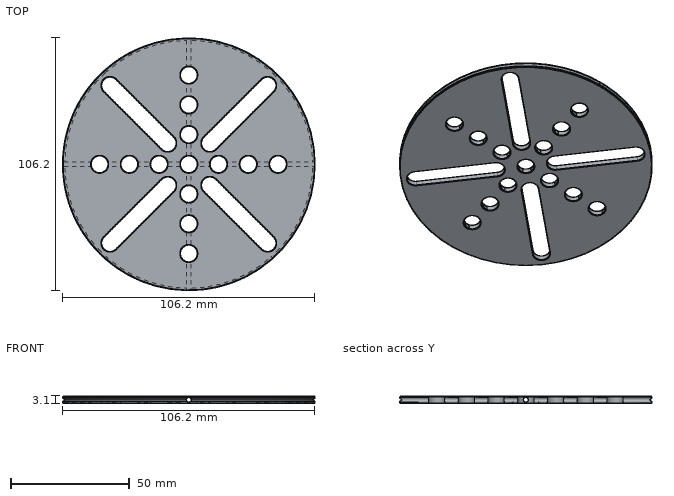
import cadquery as cq
import math

disc_diameter = 106.2
thickness = 3.1
edge_chamfer = 0.3

groove_width = 1.5
groove_depth = 1.0

hole_diameter = 7.0
holes_per_arm = 3
outer_hole_radius = 37.5
hole_pitch = outer_hole_radius / holes_per_arm

slot_width = hole_diameter
slot_inner_radius = 12.5
slot_outer_radius = 46.9

bore_diameter = 2.0

groove_seam_angle = 20
bore_seam_angle = 30

quarter_turns = (0, 90, 180, 270)
slot_angle = 45
z_axis = ((0, 0, 0), (0, 0, 1))


def make_perforated_disc():
    """Disc with the cross of holes and the diagonal slots, all edges chamfered."""
    hole_centres = [(0, 0)]
    for angle in quarter_turns:
        for step in range(1, holes_per_arm + 1):
            distance = step * hole_pitch
            direction = math.radians(angle)
            hole_centres.append((distance * math.cos(direction), distance * math.sin(direction)))

    disc = (
        cq.Workplane("XY", origin=(0, 0, -thickness / 2))
        .circle(disc_diameter / 2)
        .extrude(thickness)
    )
    holes = (
        cq.Workplane("XY", origin=(0, 0, -thickness / 2))
        .pushPoints(hole_centres)
        .circle(hole_diameter / 2)
        .extrude(thickness)
    )
    disc = disc.cut(holes)

    slot_middle = (slot_inner_radius + slot_outer_radius) / 2
    slot_length = slot_outer_radius - slot_inner_radius + slot_width
    slot = (
        cq.Workplane("XY", origin=(slot_middle, 0, -thickness / 2))
        .slot2D(slot_length, slot_width)
        .extrude(thickness)
    )
    for angle in quarter_turns:
        disc = disc.cut(slot.rotate(*z_axis, angle + slot_angle))

    return disc.faces("<Z or >Z").edges().chamfer(edge_chamfer)


def make_rim_groove():
    """Ring with a triangular section that cuts the groove into the rim."""
    rim = disc_diameter / 2
    return (
        cq.Workplane("XZ")
        .moveTo(rim, -groove_width / 2)
        .lineTo(rim - groove_depth, 0)
        .lineTo(rim, groove_width / 2)
        .close()
        .revolve(360, (0, 0), (0, 1))
        .rotate(*z_axis, groove_seam_angle)
    )


def make_bore(plane):
    """Round bar along the normal of the given plane, overshooting the rim at both ends."""
    return (
        cq.Workplane(plane)
        .transformed(rotate=(0, 0, bore_seam_angle))
        .circle(bore_diameter / 2)
        .extrude(disc_diameter, both=True)
    )


result = (
    make_perforated_disc()
    .cut(make_rim_groove())
    .cut(make_bore("YZ"))
    .cut(make_bore("XZ"))
)